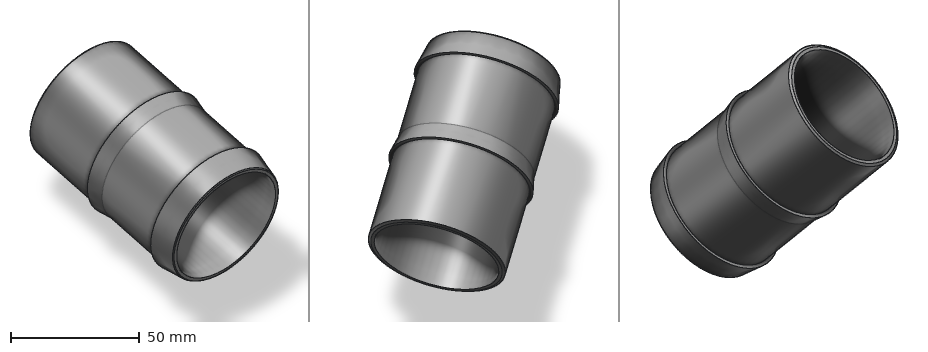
import cadquery as cq

length = 86.0
bore_radius = 25.0
tube_radius = 27.5
barb_radius = 29.0

entry_chamfer_length = 0.5
entry_chamfer_depth = 1.1

middle_barb_start = 36.8
middle_barb_length = 7.1

end_barb_start = 75.0
tip_radius = 26.8
tip_chamfer = 0.4

middle_barb_end = middle_barb_start + middle_barb_length

wall_section = (
    cq.Workplane("XZ")
    .moveTo(0, bore_radius)
    .lineTo(0, tube_radius - entry_chamfer_depth)
    .lineTo(entry_chamfer_length, tube_radius)
    .lineTo(middle_barb_start, tube_radius)
    .lineTo(middle_barb_start, barb_radius)
    .lineTo(middle_barb_end, tube_radius)
    .lineTo(end_barb_start, tube_radius)
    .lineTo(end_barb_start, barb_radius)
    .lineTo(length - tip_chamfer, tip_radius)
    .lineTo(length, tip_radius - tip_chamfer)
    .lineTo(length, bore_radius)
    .close()
)

result = wall_section.revolve(360, (0, 0, 0), (1, 0, 0))